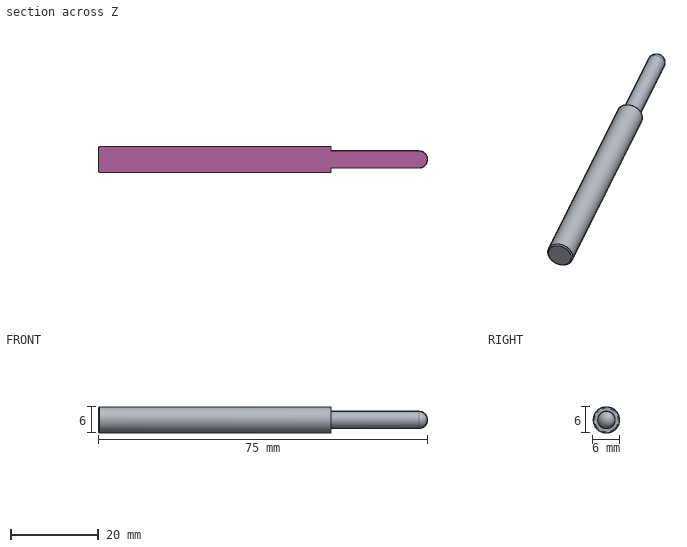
import cadquery as cq

total_length = 75.0
body_diameter = 6.0
body_length = 53.0
body_chamfer = 0.3
pin_diameter = 4.0

body_radius = body_diameter / 2
pin_radius = pin_diameter / 2

body = (
    cq.Workplane("YZ")
    .circle(body_radius)
    .extrude(body_length)
    .faces("<X")
    .chamfer(body_chamfer)
)

tip_centre = total_length - pin_radius
pin = cq.Workplane("YZ").circle(pin_radius).extrude(tip_centre)
tip = cq.Workplane("XY").sphere(pin_radius).translate((tip_centre, 0, 0))

result = body.union(pin).union(tip)